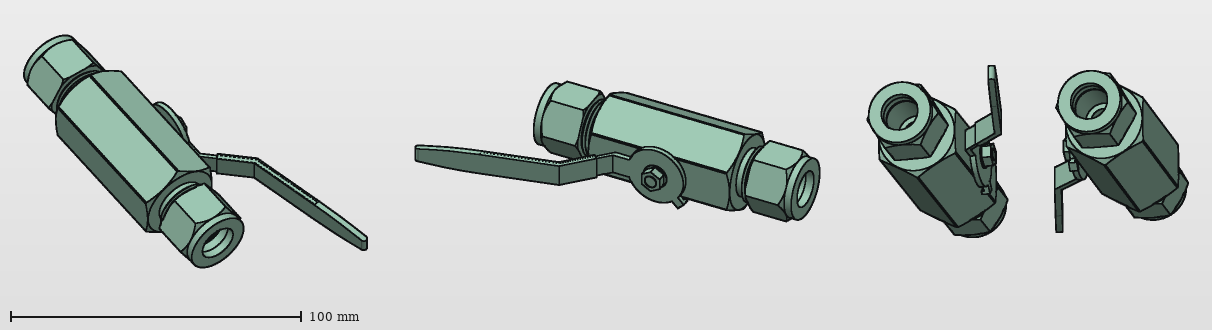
import cadquery as cq
import math


body_length = 54.4
body_flats = 27.2
body_corner_dia = 31.1
body_chamfer_face_dia = 27.0
body_chamfer_length = 1.2
neck_dia = 17.5
flow_bore_dia = 9.1
socket_end_x = 27.2

thread_start_x = 29.4
thread_pitch = 1.3
thread_turns = 2
thread_crest_dia = 20.2
spigot_dia = 18.1

total_length = 129.5
nut_span = 99.1

nut_length = 17.4
nut_flats = 22.0
nut_collar_length = 2.7
nut_outer_chamfer = 1.5
nut_inner_chamfer = 0.5
nut_inner_face_dia = 23.3
tube_dia = 13.0

ferrule_depth = 3.1
ferrule_length = 3.4
ferrule_dia = 16.2
socket_mouth_chamfer = 0.6

stem_dia = 6.0
stem_seat_depth = 2.6
stem_post_dia = 4.4

plate_gap = 0.8
plate_thickness = 2.0
disc_radius = 10.7
arm_width = 7.3
knee_x = 16.3
arm_angle = 46.0
lug_reach = 13.9
lug_width = 3.2
lug_tab_thickness = 1.2
lug_tab_drop = 0.9
lug_angle = 225.0

grip_angle = 12.7
grip_start_x = 21.0
elbow_x = 30.3
grip_thickness = 2.3
grip_width = 8.0
grip_tip_width = 4.9
taper_start_x = 57.5

stem_nut_flats = 7.0
stem_nut_height = 3.2
washer_dia = 8.8
washer_height = 0.4
stem_post_proud = 0.3

half_body = body_length / 2
nut_face_x = nut_span / 2
nut_end_x = nut_face_x - nut_length
ferrule_start_x = nut_face_x - ferrule_depth
spigot_end_x = ferrule_start_x - ferrule_length
plate_bottom = body_flats / 2 + plate_gap
plate_top = plate_bottom + plate_thickness
plate_middle = (plate_bottom + plate_top) / 2
stem_nut_top = plate_top + washer_height + stem_nut_height
stem_top = stem_nut_top + stem_post_proud
arm_thickness = plate_thickness * math.cos(math.radians(arm_angle))
arm_slope = math.tan(math.radians(arm_angle))
grip_slope = math.tan(math.radians(grip_angle))
grip_tip_radius = grip_thickness / 2
grip_end_x = total_length - nut_face_x
grip_tip_x = grip_end_x - grip_tip_radius


def hexagon_dia(flats):
    """Corner-to-corner size of a hexagon with the given size across flats."""
    return flats / math.cos(math.pi / 6)


def turned(points):
    """Solid of revolution about X from (x, radius) points."""
    return cq.Workplane("XY").polyline(points).close().revolve(360, (0, 0, 0), (1, 0, 0))


def x_cylinder(start_x, end_x, dia):
    return cq.Workplane("YZ").workplane(offset=start_x).circle(dia / 2).extrude(end_x - start_x)


def y_cylinder(start_y, end_y, dia):
    return cq.Workplane("XZ", origin=(0, start_y, 0)).circle(dia / 2).extrude(start_y - end_y)


def both_ends(part):
    """The part at the +X end and its mirror image at the -X end."""
    return [part, part.mirror("YZ")]


def make_threaded_end():
    """Neck, thread ridges and smooth spigot of the +X end."""
    points = [(half_body, 0), (half_body, neck_dia / 2), (thread_start_x, neck_dia / 2)]
    for turn in range(thread_turns):
        root_x = thread_start_x + turn * thread_pitch
        points.append((root_x + thread_pitch / 2, thread_crest_dia / 2))
        points.append((root_x + thread_pitch, spigot_dia / 2))
    points += [(spigot_end_x, spigot_dia / 2), (spigot_end_x, 0)]
    return turned(points)


def make_socket():
    """Tube socket of the +X end, with a chamfered mouth."""
    mouth_radius = tube_dia / 2 + socket_mouth_chamfer
    return turned([
        (socket_end_x, 0),
        (socket_end_x, tube_dia / 2),
        (spigot_end_x - socket_mouth_chamfer, tube_dia / 2),
        (spigot_end_x, mouth_radius),
        (spigot_end_x, 0),
    ])


def make_body():
    hexagon = (
        cq.Workplane("YZ")
        .workplane(offset=-half_body)
        .transformed(rotate=(0, 0, 90))
        .polygon(6, hexagon_dia(body_flats))
        .extrude(body_length)
    )
    cone_x = half_body - body_chamfer_length
    blank = turned([
        (-half_body, 0),
        (-half_body, body_chamfer_face_dia / 2),
        (-cone_x, body_corner_dia / 2),
        (cone_x, body_corner_dia / 2),
        (half_body, body_chamfer_face_dia / 2),
        (half_body, 0),
    ])
    body = hexagon.intersect(blank)
    for end in both_ends(make_threaded_end()):
        body = body.union(end)
    for socket in both_ends(make_socket()):
        body = body.cut(socket)
    body = body.cut(x_cylinder(-nut_face_x, nut_face_x, flow_bore_dia))
    stem_seat = y_cylinder(body_flats / 2 - stem_seat_depth, body_flats / 2, stem_dia)
    return body.cut(stem_seat)


def make_tube_nut():
    """Nut of the +X end: hexagon with flats at +Z and -Z and a round outer collar."""
    corner_radius = hexagon_dia(nut_flats) / 2
    collar_x = nut_face_x - nut_collar_length
    hexagon = (
        cq.Workplane("YZ")
        .workplane(offset=nut_end_x)
        .polygon(6, 2 * corner_radius)
        .extrude(collar_x - nut_end_x)
    )
    blank = turned([
        (nut_end_x, 0),
        (nut_end_x, nut_inner_face_dia / 2),
        (nut_end_x + nut_inner_chamfer, corner_radius),
        (collar_x - nut_outer_chamfer, corner_radius),
        (collar_x, nut_flats / 2),
        (collar_x, 0),
    ])
    nut = hexagon.intersect(blank).union(x_cylinder(collar_x, nut_face_x, nut_flats))
    nut = nut.cut(x_cylinder(nut_end_x, nut_face_x, tube_dia))
    nut = nut.cut(x_cylinder(nut_end_x, spigot_end_x, spigot_dia))
    return nut.cut(x_cylinder(spigot_end_x, ferrule_start_x, ferrule_dia))


def make_ferrule():
    """Ferrule ring of the +X end, between the spigot and the nut."""
    ring = x_cylinder(spigot_end_x, ferrule_start_x, ferrule_dia)
    return ring.cut(x_cylinder(spigot_end_x, ferrule_start_x, tube_dia))


def make_stem():
    shank = y_cylinder(body_flats / 2 - stem_seat_depth, plate_bottom, stem_dia)
    return shank.union(y_cylinder(plate_bottom, stem_top, stem_post_dia))


def make_stem_nut():
    """Hexagon nut with a thin washer face, flats at +X and -X."""
    hexagon = (
        cq.Workplane("XZ", origin=(0, plate_top, 0))
        .transformed(rotate=(0, 0, 90))
        .polygon(6, hexagon_dia(stem_nut_flats))
        .extrude(plate_top - stem_nut_top)
    )
    nut = hexagon.union(y_cylinder(plate_top, plate_top + washer_height, washer_dia))
    return nut.cut(y_cylinder(plate_top, stem_nut_top, stem_post_dia))


def centre_y(x):
    """Y of the middle of the cranked arm at x."""
    elbow_y = plate_middle + (elbow_x - knee_x) * arm_slope
    if x > elbow_x:
        return elbow_y + (x - elbow_x) * grip_slope
    return plate_middle + (x - knee_x) * arm_slope


def crank_profile(start_x, end_x, thickness):
    """Outline of a bent strip, mitred at the elbow and cut square at both ends."""
    half = thickness / 2
    arm = math.radians(arm_angle)
    grip = math.radians(grip_angle)
    mitre = (arm + grip) / 2
    mitre_half = half / math.cos((arm - grip) / 2)
    upper = []
    lower = []
    for x, angle, reach in (
        (start_x, arm, half),
        (elbow_x, mitre, mitre_half),
        (end_x, grip, half),
    ):
        shift_x = reach * math.sin(angle)
        shift_y = reach * math.cos(angle)
        upper.append((x - shift_x, centre_y(x) + shift_y))
        lower.append((x + shift_x, centre_y(x) - shift_y))
    return upper, lower


def make_lug():
    """Stop lug on the disc rim, with a tab bent down over the body."""
    plate = cq.Workplane("XY").box(
        lug_reach, plate_thickness, lug_width, centered=(False, False, True)
    )
    tab = (
        cq.Workplane("XY")
        .box(lug_tab_thickness, plate_thickness + lug_tab_drop, lug_width, centered=(False, False, True))
        .translate((lug_reach - lug_tab_thickness, -lug_tab_drop, 0))
    )
    lug = plate.union(tab).translate((0, plate_bottom, 0))
    return lug.rotate((0, 0, 0), (0, 1, 0), -lug_angle)


def make_handle():
    upper, lower = crank_profile(grip_start_x, taper_start_x, arm_thickness)
    outline = (
        [(0, plate_top), (knee_x, plate_top)]
        + upper[1:]
        + lower[:0:-1]
        + [(knee_x, plate_bottom), (0, plate_bottom)]
    )
    handle = cq.Workplane("XY").polyline(outline).close().extrude(arm_width / 2, both=True)
    handle = handle.union(y_cylinder(plate_bottom, plate_top, 2 * disc_radius)).union(make_lug())
    return handle.cut(y_cylinder(plate_bottom, plate_top, stem_post_dia))


def make_grip(handle):
    """Sleeve around the arm, narrowing along an arc to a rounded tip."""
    upper, lower = crank_profile(grip_start_x, grip_tip_x, grip_thickness)
    tip_angle = math.radians(grip_angle)
    nose = (
        grip_tip_x + grip_tip_radius * math.cos(tip_angle),
        centre_y(grip_tip_x) + grip_tip_radius * math.sin(tip_angle),
    )
    strip = (
        cq.Workplane("XY")
        .polyline(lower[::-1] + upper)
        .threePointArc(nose, lower[-1])
        .close()
        .extrude(grip_width / 2, both=True)
    )
    top_y = centre_y(grip_tip_x) + grip_thickness
    tapered_outline = (
        cq.Workplane("XZ")
        .lineTo(0, grip_width / 2)
        .lineTo(taper_start_x, grip_width / 2)
        .tangentArcPoint((grip_end_x, grip_tip_width / 2), relative=False)
        .lineTo(grip_end_x, 0)
        .mirrorX()
        .extrude(-top_y)
    )
    return strip.intersect(tapered_outline).cut(handle)


body = make_body()
tube_nuts = both_ends(make_tube_nut())
ferrules = both_ends(make_ferrule())
stem = make_stem()
stem_nut = make_stem_nut()
handle = make_handle()
grip = make_grip(handle)

result = cq.Compound.makeCompound([
    body.val(),
    *[nut.val() for nut in tube_nuts],
    *[ferrule.val() for ferrule in ferrules],
    stem.val(),
    stem_nut.val(),
    handle.val(),
    grip.val(),
])